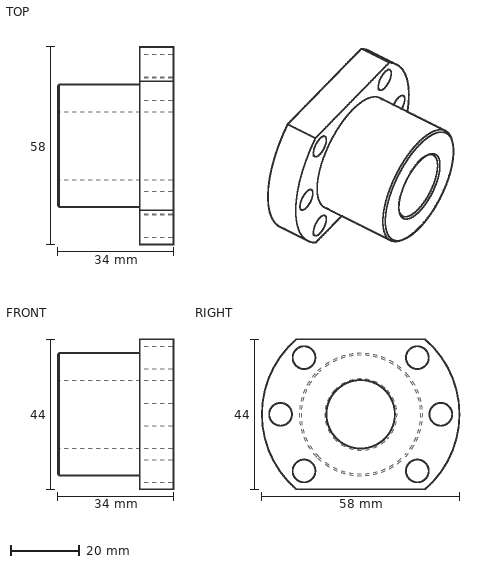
import cadquery as cq

total_length = 34.0
flange_diameter = 58.0
flange_thickness = 10.0
flange_height = 44.0
body_diameter = 36.0
bore_diameter = 20.0
edge_chamfer = 0.5
bolt_hole_diameter = 6.6
bolt_circle_diameter = 47.0
bolt_hole_spread = 45.0

body_length = total_length - flange_thickness


def make_flange():
    """Round flange with flat top and bottom, behind the body."""
    disc = cq.Workplane("YZ").workplane(offset=body_length).circle(flange_diameter / 2).extrude(flange_thickness)
    flats = (
        cq.Workplane("YZ")
        .workplane(offset=body_length)
        .rect(flange_diameter, flange_height)
        .extrude(flange_thickness)
    )
    return disc.intersect(flats)


def make_body():
    """Cylindrical body with a chamfered front rim, reaching through the flange."""
    body = cq.Workplane("YZ").circle(body_diameter / 2).extrude(total_length)
    return body.faces("<X").chamfer(edge_chamfer)


def drill_bore(part):
    """Cut the through bore and chamfer its front mouth."""
    bored = part.cut(cq.Workplane("YZ").circle(bore_diameter / 2).extrude(total_length))
    mouth = bored.faces("<X").edges(cq.selectors.RadiusNthSelector(0))
    return mouth.chamfer(edge_chamfer)


def make_bolt_holes():
    """Three holes on each side of the flange, clear of the flats."""
    holes = cq.Workplane("YZ").workplane(offset=body_length)
    for side_angle in (0, 180):
        holes = holes.polarArray(
            bolt_circle_diameter / 2, side_angle - bolt_hole_spread, 2 * bolt_hole_spread, 3
        ).circle(bolt_hole_diameter / 2)
    return holes.extrude(flange_thickness)


result = drill_bore(make_flange().union(make_body())).cut(make_bolt_holes())